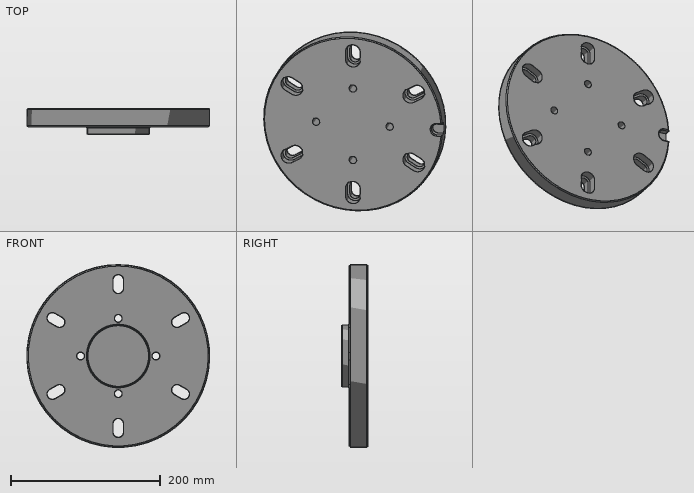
import cadquery as cq

disc_diameter = 244.0
disc_thickness = 25.0
front_chamfer = 2.0
back_chamfer = 1.5

boss_diameter = 83.0
boss_height = 10.0
boss_chamfer = 1.0
boss_root_radius = 1.0

slot_count = 6
slot_length = 25.0
slot_width = 14.0
slot_recess_margin = 3.0
slot_recess_depth = 13.0
slot_circle_radius = 96.0

hole_count = 4
hole_diameter = 10.0
hole_circle_radius = 50.25

notch_width = 15.0
notch_depth = 15.0
notch_length = 10.0
notch_edge_chamfer = back_chamfer

boss_front_y = -boss_height
disc_back_y = disc_thickness
rim_radius = disc_diameter / 2
boss_radius = boss_diameter / 2


def plane_facing_back(y):
    """Workplane at station y with local X along X, local Y along -Z, pointing to +Y."""
    return cq.Workplane(cq.Plane(origin=(0, y, 0), xDir=(1, 0, 0), normal=(0, 1, 0)))


def make_body():
    """Disc and boss turned as one profile (Y, Z), with chamfers and a filleted boss root."""
    profile = (
        cq.Workplane("YZ")
        .moveTo(boss_front_y, 0)
        .lineTo(boss_front_y, boss_radius - boss_chamfer)
        .lineTo(boss_front_y + boss_chamfer, boss_radius)
        .lineTo(-boss_root_radius, boss_radius)
        .radiusArc((0, boss_radius + boss_root_radius), boss_root_radius)
        .lineTo(0, rim_radius - front_chamfer)
        .lineTo(front_chamfer, rim_radius)
        .lineTo(disc_back_y - back_chamfer, rim_radius)
        .lineTo(disc_back_y, rim_radius - back_chamfer)
        .lineTo(disc_back_y, 0)
        .close()
    )
    return profile.revolve(360, (0, 0, 0), (1, 0, 0))


def slot_ring(front_y, length, width):
    """Ring of radial slots from station front_y through the back face, the first along Z."""
    return (
        plane_facing_back(front_y)
        .polarArray(slot_circle_radius, 90, 360, slot_count)
        .slot2D(length, width)
        .extrude(disc_back_y - front_y)
    )


def make_slots():
    """Through slots, each widened by a recess that leaves a ledge around it."""
    through_slots = slot_ring(0, slot_length, slot_width)
    recess_length = slot_length + 2 * slot_recess_margin
    recess_width = slot_width + 2 * slot_recess_margin
    recesses = slot_ring(disc_back_y - slot_recess_depth, recess_length, recess_width)
    return through_slots.union(recesses)


def make_holes():
    """Plain round holes through the disc, on the X and Z axes."""
    return (
        plane_facing_back(0)
        .polarArray(hole_circle_radius, 0, 360, hole_count)
        .circle(hole_diameter / 2)
        .extrude(disc_thickness)
    )


def make_notch():
    """Slot-shaped cutter reaching notch_depth inside the rim, flared at the back face."""
    cutter_length = 2 * notch_depth + notch_width
    cutter_center_x = -rim_radius + notch_depth - cutter_length / 2
    straight_notch = (
        plane_facing_back(disc_back_y - notch_length)
        .center(cutter_center_x, 0)
        .slot2D(cutter_length, notch_width)
        .extrude(notch_length)
    )
    flare = (
        plane_facing_back(disc_back_y)
        .center(cutter_center_x, 0)
        .slot2D(cutter_length + 2 * notch_edge_chamfer, notch_width + 2 * notch_edge_chamfer)
        .extrude(-notch_edge_chamfer, taper=45)
    )
    return straight_notch.union(flare)


result = make_body().cut(make_slots()).cut(make_holes()).cut(make_notch())